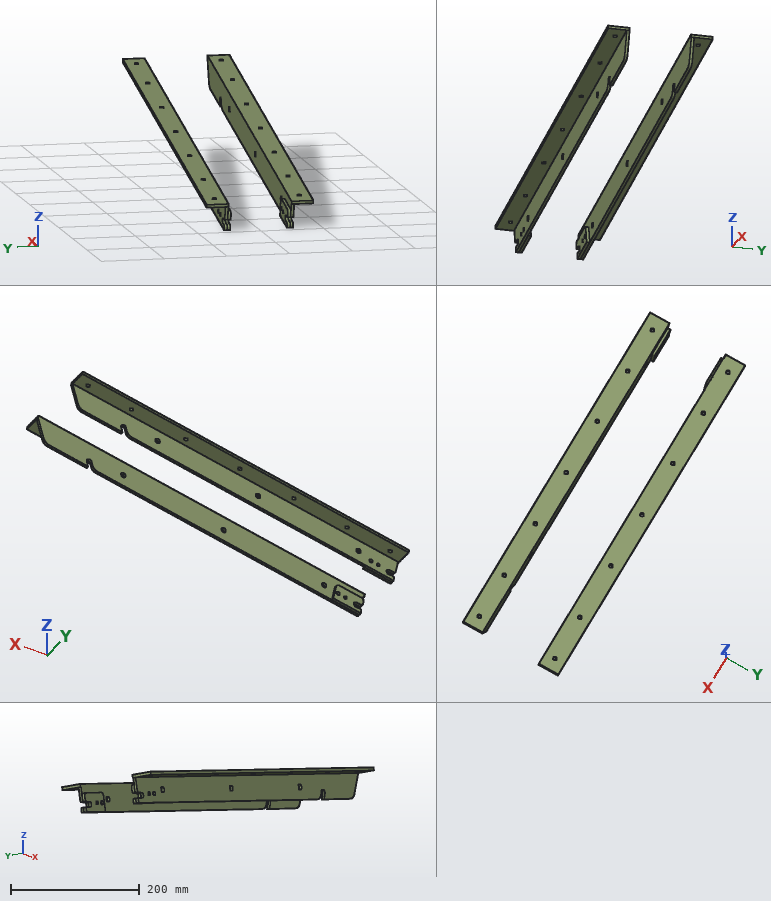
import cadquery as cq
import math

overall_length = 590.0
overall_width = 170.0
overall_height = 169.0
tilt = 12.0
tilt_sine = math.sin(math.radians(tilt))
tilt_cosine = math.cos(math.radians(tilt))

flange_thickness = 5.0
flange_width = 35.0
rail_length = (overall_length - flange_thickness * tilt_sine) / tilt_cosine
web_thickness = 5.0
web_start = 1.0
web_depth = (overall_height - (rail_length - web_start) * tilt_sine) / tilt_cosine
end_slant = 28.0
end_corner_radius = 13.5

screw_hole_diameter = 6.0
screw_hole_offsets = (-277.0, -197.5, -99.5, 0.0, 99.5, 200.0, 280.0)

mount_hole_diameter = 8.0
mount_hole_start = 70.0
mount_hole_pitch = 185.0
mount_hole_count = 3
mount_hole_down = 25.0

hanging_slot_width = 9.0
hanging_slot_along = 501.5
hanging_slot_down = 34.0
hanging_slot_slant = 26.0
hanging_slot_mouth_radius = 12.0

hook_width = 8.0
hook_along = 12.5
hook_down = 33.0
hook_slant = 3.0
hook_upper_radius = 3.5
hook_lip_radius = 3.5

plate_thickness = 5.0
plate_end = 52.0
plate_top = 15.0
plate_corner_radius = 5.0

pin_holes = ((32.5, 5.0), (46.0, 6.0))
pin_hole_down = 30.5

cutter_reach = 29.5
corner_margin = 0.3


def outline(points, near, far):
    """Slab from (along, down) points, filling Y from near to far."""
    flipped = [(along, -down) for along, down in points]
    slab = cq.Workplane("XZ").polyline(flipped).close().extrude(near - far)
    return slab.translate((0, near, 0))


def cut_cross_hole(body, along, down, diameter):
    """Drill a hole along Y right through the body."""
    drill = cq.Workplane("XZ").center(along, -down).circle(diameter / 2)
    return body.cut(drill.extrude(cutter_reach, both=True))


def cut_open_slot(body, along, down, width, heading):
    """Cut a slot with its round end at (along, down), leaving the body at the heading angle."""
    end = cq.Workplane("XZ").circle(width / 2).extrude(cutter_reach, both=True)
    run = cq.Workplane("XZ").center(cutter_reach / 2, 0).rect(cutter_reach, width)
    cutter = end.union(run.extrude(cutter_reach, both=True))
    cutter = cutter.rotate((0, 0, 0), (0, 1, 0), -heading)
    return body.cut(cutter.translate((along, 0, -down)))


def round_corner(body, along, down, radius):
    """Round the edge parallel to Y at the outline corner (along, down)."""
    low = (along - corner_margin, -cutter_reach, -down - corner_margin)
    high = (along + corner_margin, cutter_reach, -down + corner_margin)
    corner = cq.selectors.BoxSelector(low, high)
    return body.edges("|Y").edges(corner).fillet(radius)


def cut_hook_end(body):
    """Hook slot with rounded lips, and the pin holes, shared by the web and the plate."""
    body = cut_open_slot(body, hook_along, hook_down, hook_width, 180 - hook_slant)
    slant = math.radians(hook_slant)
    mouth_middle = hook_down - (hook_along - web_start) * math.tan(slant)
    half_mouth = hook_width / 2 / math.cos(slant)
    body = round_corner(body, web_start, mouth_middle - half_mouth, hook_upper_radius)
    body = round_corner(body, web_start, mouth_middle + half_mouth, hook_lip_radius)
    for along, diameter in pin_holes:
        body = cut_cross_hole(body, along, pin_hole_down, diameter)
    return body


def cut_hanging_slot(web):
    """Slanted slot with a rounded lead-in on its low side."""
    heading = -90 - hanging_slot_slant
    web = cut_open_slot(web, hanging_slot_along, hanging_slot_down, hanging_slot_width, heading)
    slant = math.radians(hanging_slot_slant)
    mouth_middle = hanging_slot_along - (web_depth - hanging_slot_down) * math.tan(slant)
    low_side = mouth_middle - hanging_slot_width / 2 / math.cos(slant)
    return round_corner(web, low_side, web_depth, hanging_slot_mouth_radius)


def make_web():
    """Upright leg of the rail, its inner face on Y = 0."""
    set_back = (web_depth - flange_thickness) * math.tan(math.radians(end_slant))
    high_corner = rail_length - set_back
    points = [
        (web_start, 0),
        (rail_length, 0),
        (rail_length, flange_thickness),
        (high_corner, web_depth),
        (web_start, web_depth),
    ]
    web = outline(points, -web_thickness, 0)
    web = round_corner(web, high_corner, web_depth, end_corner_radius)
    web = cut_hanging_slot(web)
    for index in range(mount_hole_count):
        along = mount_hole_start + index * mount_hole_pitch
        web = cut_cross_hole(web, along, mount_hole_down, mount_hole_diameter)
    return cut_hook_end(web)


def make_flange():
    """Top leg of the rail, reaching outward from Y = 0, with its row of screw holes."""
    points = [(0, 0), (rail_length, 0), (rail_length, flange_thickness), (0, flange_thickness)]
    flange = outline(points, -flange_width, 0)
    centres = [(rail_length / 2 + offset, -flange_width / 2) for offset in screw_hole_offsets]
    drills = cq.Workplane("XY").pushPoints(centres).circle(screw_hole_diameter / 2)
    return flange.cut(drills.extrude(cutter_reach, both=True))


def make_rail():
    """One-piece angle rail: flange and web."""
    return make_flange().union(make_web())


def make_plate():
    """Plate lying on the inner face of the web, flush with its low end and lower edge."""
    points = [
        (web_start, plate_top),
        (plate_end, plate_top),
        (plate_end, web_depth),
        (web_start, web_depth),
    ]
    plate = outline(points, 0, plate_thickness)
    for corner_along in (web_start, plate_end):
        plate = round_corner(plate, corner_along, plate_top, plate_corner_radius)
    return cut_hook_end(plate)


def place(body):
    """Incline a body and move it out to the -Y side of the pair."""
    inclined = body.rotate((0, 0, 0), (0, 1, 0), -tilt)
    return inclined.translate((0, flange_width - overall_width / 2, 0))


bodies = []
for make_body in (make_rail, make_plate):
    near_body = place(make_body())
    far_body = near_body.mirror("XZ")
    bodies += [near_body.val(), far_body.val()]

result = cq.Compound.makeCompound(bodies)